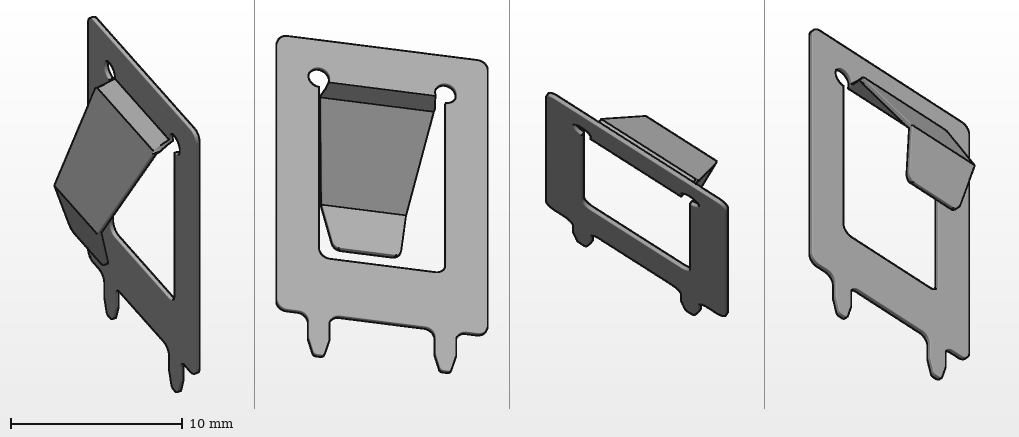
import cadquery as cq
import math

sheet = 0.3
overall_depth = 4.75
overall_height = 21.34
edge_radius = 0.045

plate_width = 12.7
plate_height = 18.54
corner_radius = 0.635

window_half_width = 3.81
window_bottom = 3.81
window_radius = 0.635
hole_radius = 0.635
hole_z = plate_height - 2.54

pin_x = window_half_width
pin_width = 1.27
pin_length = overall_height - plate_height
pin_taper_length = 1.1
pin_tip_width = 0.62
pin_tip_radius = 0.25
pin_root_radius = 0.6

tongue_root = (0, plate_height - 2.59)
upper_bend = (-1.12, plate_height - 2.91)
lower_bend = (sheet - overall_depth, plate_height - 8.43)
tongue_tip = (-3.62, plate_height - 11.8)
tongue_half_width_at_upper_bend = 3.44
tongue_half_width_at_lower_bend = 2.54
tongue_tip_radius = 0.6


def height_on_line(first, second, y):
    """Height Z at the given Y on the line through two (Y, Z) points."""
    slope = (second[1] - first[1]) / (second[0] - first[0])
    return first[1] + slope * (y - first[0])


def inward_normal(first, second):
    """Unit normal pointing to the inner face for a leg running from root to tip."""
    run = second[0] - first[0]
    rise = second[1] - first[1]
    length = math.hypot(run, rise)
    return (-rise / length, run / length)


def inner_faces(outer):
    """Points one sheet thickness inside the outer path, mitred at every bend."""
    normals = [inward_normal(start, end) for start, end in zip(outer, outer[1:])]
    before = [normals[0]] + normals
    after = normals + [normals[-1]]
    inner = []
    for (y, z), (before_y, before_z), (after_y, after_z) in zip(outer, before, after):
        reach = sheet / (1 + before_y * after_y + before_z * after_z)
        inner.append((y + reach * (before_y + after_y), z + reach * (before_z + after_z)))
    return inner


def make_pin(x):
    """Tapered pin with a rounded tip and flared root, its top on the plate edge."""
    half = pin_width / 2
    half_tip = pin_tip_width / 2
    flare = half + pin_root_radius
    taper_top = pin_taper_length - pin_length
    outline = (
        cq.Workplane("XZ", origin=(x, 0, 0))
        .moveTo(-flare, 0)
        .radiusArc((-half, -pin_root_radius), pin_root_radius)
        .lineTo(-half, taper_top)
        .lineTo(-half_tip, -pin_length)
        .lineTo(half_tip, -pin_length)
        .lineTo(half, taper_top)
        .lineTo(half, -pin_root_radius)
        .radiusArc((flare, 0), pin_root_radius)
        .close()
    )
    return outline.extrude(-sheet).edges("|Y and <Z").fillet(pin_tip_radius)


def make_plate():
    """Flat frame with rounded corners, a window and two pins."""
    plate = (
        cq.Workplane("XY")
        .box(plate_width, sheet, plate_height, centered=(True, False, False))
        .edges("|Y")
        .fillet(corner_radius)
    )
    window = (
        cq.Workplane("XY", origin=(0, 0, window_bottom))
        .box(2 * window_half_width, sheet, tongue_root[1] - window_bottom, centered=(True, False, False))
        .edges("|Y and <Z")
        .fillet(window_radius)
    )
    plate = plate.cut(window)
    for side in (-1, 1):
        plate = plate.union(make_pin(side * pin_x))
    return plate


def tongue_half_width(z):
    """Half width of the evenly tapered tongue at height Z."""
    widening = tongue_half_width_at_upper_bend - tongue_half_width_at_lower_bend
    taper = widening / (upper_bend[1] - lower_bend[1])
    return tongue_half_width_at_lower_bend + taper * (z - lower_bend[1])


def make_tongue():
    """Bent strip whose sides taper evenly toward the rounded tip."""
    root_at_back = (sheet, height_on_line(tongue_root, upper_bend, sheet))
    outer = [root_at_back, upper_bend, lower_bend, tongue_tip]
    inner = inner_faces(outer)
    inner[0] = (sheet, height_on_line(inner[0], inner[1], sheet))
    strip = (
        cq.Workplane("YZ")
        .polyline(outer + inner[::-1])
        .close()
        .extrude(window_half_width, both=True)
    )

    top = root_at_back[1]
    bottom = tongue_tip[1]
    top_half = tongue_half_width(top)
    bottom_half = tongue_half_width(bottom)
    front_outline = (
        cq.Workplane("XZ", origin=(0, sheet, 0))
        .polyline([
            (-top_half, top),
            (top_half, top),
            (bottom_half, bottom),
            (-bottom_half, bottom),
        ])
        .close()
        .extrude(overall_depth)
        .edges("|Y and <Z")
        .fillet(tongue_tip_radius)
    )
    return strip.intersect(front_outline)


def make_relief_holes():
    """Cylinders along Y that cut both the plate and the sides of the tongue root."""
    return (
        cq.Workplane("XZ", origin=(0, sheet, 0))
        .pushPoints([(-window_half_width, hole_z), (window_half_width, hole_z)])
        .circle(hole_radius)
        .extrude(overall_depth)
    )


def soften_edges(body):
    """Round the cut edges, where a broad sheet face meets a narrow side face."""
    largest_side_area = sheet * plate_height
    sheet_edge_counts = {}
    for face in body.faces().vals():
        if face.Area() > largest_side_area:
            for edge in face.Edges():
                sheet_edge_counts[edge] = sheet_edge_counts.get(edge, 0) + 1
    cut_edges = [edge for edge, count in sheet_edge_counts.items() if count == 1]
    return body.newObject(cut_edges).fillet(edge_radius)


spring_plate = make_plate().union(make_tongue()).cut(make_relief_holes())
result = soften_edges(spring_plate).solids()